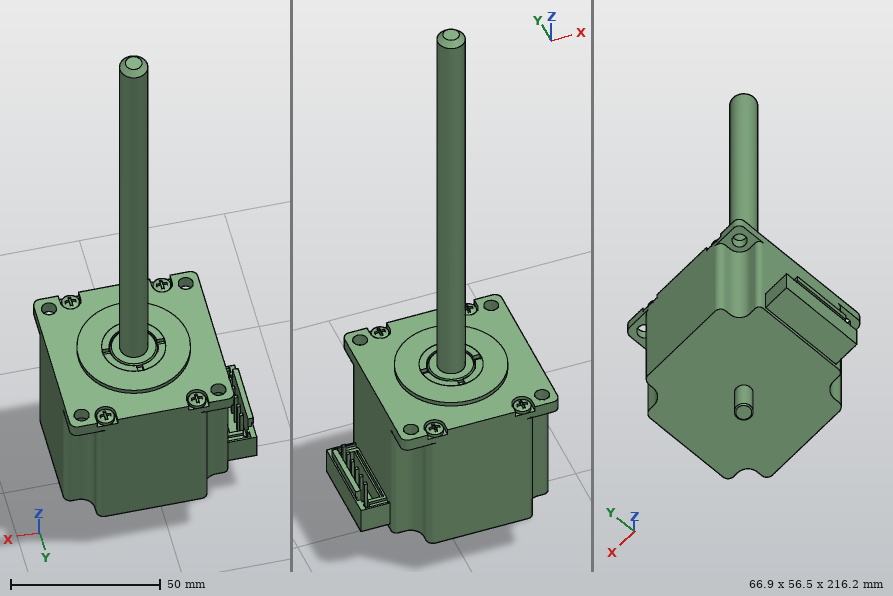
import cadquery as cq
import math

OVERALL_LENGTH = 66.9
OVERALL_HEIGHT = 216.2
FRAME = 56.54
HALF = FRAME / 2
MOTOR_LENGTH = 50.4

FLANGE_THICK = 4.6
FLANGE_CORNER_R = 2.5
HOLE_PITCH = 47.14
HOLE_DIA = 5.0
PILOT_DIA = 38.1
PILOT_HEIGHT = 1.6

NOTCH_INSET = 9.2
COVE_R = 4.7
NOTCH_LIP_R = 2.5
CONN_SIDE_LIP_R = 1.9

ROD_DIA = 9.53
ROD_CHAMFER = 2.0
REAR_SHAFT_DIA = 6.35
REAR_SHAFT_LENGTH = 13.4
REAR_SHAFT_CHAMFER = 0.5

NUT_DIA = 21.5
NUT_SINK = 0.1
NUT_BORE_DIA = 16.5
NUT_BORE_DEPTH = 1.6
COLLAR_DIA = 16.0
COLLAR_CHAMFER = 0.5
NUT_SLOT_WIDTH = 2.0
NUT_SLOT_DEPTH = 1.6

SCREW_X = 15.75
SCREW_HEAD_DIA = 6.0
SCREW_RIM_HEIGHT = 1.2
SCREW_HEAD_HEIGHT = 2.0
SCREW_Y = HALF - SCREW_HEAD_DIA / 2
SCREW_POCKET_DIA = 7.0
SCREW_POCKET_DEPTH = 2.0
CROSS_LENGTH = 3.6
CROSS_WIDTH = 0.8
CROSS_DEPTH = 1.0

CONN_REACH = OVERALL_LENGTH - FRAME
CONN_WIDTH = 32.0
CONN_HEIGHT = 9.7
CONN_LIFT = 2.0
CONN_END_WALL = 0.65
CHANNEL_DEPTH = 1.0
CHANNEL_GAP = 1.3
CAVITY_WIDTH = 24.0
CAVITY_LENGTH = 6.5
CAVITY_DEPTH = 7.0
CAVITY_SETBACK = 1.9
KEY_SETBACK = 0.6
KEY_LENGTH = 1.4
KEY_DEPTH = 2.0
GROOVE_WIDTH = 0.65
PIN_COUNT = 6
PIN_PITCH = 3.96
PIN_SIZE = 1.14
PIN_SETBACK = 3.9
PIN_RISE = 5.9
LATCH_WIDTH = 22.0
LATCH_HEIGHT = 4.2
LATCH_HOOK = 0.6
LATCH_HOOK_START = 1.5

DIAGONAL = math.sqrt(0.5)
REAR_Z = -MOTOR_LENGTH
ROD_TOP = OVERALL_HEIGHT - MOTOR_LENGTH - REAR_SHAFT_LENGTH
CONN_OUTER_X = -HALF - CONN_REACH
CONN_TOP = REAR_Z + CONN_LIFT + CONN_HEIGHT


def cylinder(diameter, z_low, z_high):
    return cq.Workplane("XY").workplane(offset=z_low).circle(diameter / 2).extrude(z_high - z_low)


def box(x_low, x_high, y_low, y_high, z_low, z_high):
    size = (x_high - x_low, y_high - y_low, z_high - z_low)
    return cq.Workplane("XY").box(*size, centered=False).translate((x_low, y_low, z_low))


def make_flange():
    flange = box(-HALF, HALF, -HALF, HALF, -FLANGE_THICK, 0).edges("|Z").fillet(FLANGE_CORNER_R)
    flange = flange.union(cylinder(PILOT_DIA, -FLANGE_THICK, PILOT_HEIGHT))
    return (
        flange.faces("<Z").workplane()
        .rect(HOLE_PITCH, HOLE_PITCH, forConstruction=True).vertices()
        .hole(HOLE_DIA)
    )


def make_corner_notch(x_lip):
    """Notch at the +X +Y corner: a cove around the screw between two rounded lips.

    x_lip is the radius of the lip on the +X side; the +Y side has the common lip radius.
    """
    wall = HALF - NOTCH_INSET
    cove_centre = wall + COVE_R
    cove_mid = cove_centre - COVE_R * DIAGONAL
    x_lip_centre = (HALF - x_lip, wall - x_lip)
    y_lip_centre = (wall - NOTCH_LIP_R, HALF - NOTCH_LIP_R)
    x_lip_mid = tuple(value + x_lip * DIAGONAL for value in x_lip_centre)
    y_lip_mid = tuple(value + NOTCH_LIP_R * DIAGONAL for value in y_lip_centre)
    return (
        cq.Workplane("XY").workplane(offset=REAR_Z)
        .moveTo(HALF, x_lip_centre[1])
        .threePointArc(x_lip_mid, (x_lip_centre[0], wall))
        .lineTo(cove_centre, wall)
        .threePointArc((cove_mid, cove_mid), (wall, cove_centre))
        .lineTo(wall, y_lip_centre[1])
        .threePointArc(y_lip_mid, (y_lip_centre[0], HALF))
        .lineTo(HALF, HALF)
        .close()
        .extrude(MOTOR_LENGTH - FLANGE_THICK)
    )


def make_body():
    body = box(-HALF, HALF, -HALF, HALF, REAR_Z, -FLANGE_THICK)
    plain_side = make_corner_notch(NOTCH_LIP_R)
    conn_side = make_corner_notch(CONN_SIDE_LIP_R).mirror("YZ")
    for notch in (plain_side, conn_side):
        body = body.cut(notch).cut(notch.mirror("XZ"))
    return body


def cut_nut_face(part):
    """Sunk nut face with four radial slots and a chamfered collar inside its bore."""
    face_z = PILOT_HEIGHT - NUT_SINK
    bore_z = face_z - NUT_BORE_DEPTH
    part = part.cut(cylinder(NUT_DIA, face_z, PILOT_HEIGHT))
    collar = cylinder(COLLAR_DIA, bore_z, face_z).faces(">Z").chamfer(COLLAR_CHAMFER)
    part = part.cut(cylinder(NUT_BORE_DIA, bore_z, face_z).cut(collar))
    slot = box(
        COLLAR_DIA / 2, NUT_DIA / 2, -NUT_SLOT_WIDTH / 2, NUT_SLOT_WIDTH / 2,
        face_z - NUT_SLOT_DEPTH, face_z,
    )
    for quarter in range(4):
        part = part.cut(slot.rotate((0, 0, 0), (0, 0, 1), 90 * quarter))
    return part


def make_shafts():
    rod = cylinder(ROD_DIA, 0, ROD_TOP).faces(">Z").chamfer(ROD_CHAMFER)
    rear_end = REAR_Z - REAR_SHAFT_LENGTH
    rear = cylinder(REAR_SHAFT_DIA, rear_end, REAR_Z).faces("<Z").chamfer(REAR_SHAFT_CHAMFER)
    return rod.union(rear)


def make_screw_pocket():
    """Round-ended pocket for the screw on the +Y side, centred on X = 0 and open at the flange edge."""
    radius = SCREW_POCKET_DIA / 2
    pocket = cylinder(SCREW_POCKET_DIA, -SCREW_POCKET_DEPTH, 0).translate((0, SCREW_Y, 0))
    return pocket.union(box(-radius, radius, SCREW_Y, HALF + radius, -SCREW_POCKET_DEPTH, 0))


def make_screw_head():
    """Domed cross-recessed head standing on the pocket floor."""
    radius = SCREW_HEAD_DIA / 2
    crown = SCREW_HEAD_HEIGHT - SCREW_RIM_HEIGHT
    dome_r = (radius ** 2 + crown ** 2) / (2 * crown)
    half_angle = math.asin(radius / dome_r) / 2
    dome_mid = (
        dome_r * math.sin(half_angle),
        SCREW_HEAD_HEIGHT - dome_r * (1 - math.cos(half_angle)),
    )
    head = (
        cq.Workplane("XZ")
        .lineTo(radius, 0)
        .lineTo(radius, SCREW_RIM_HEIGHT)
        .threePointArc(dome_mid, (0, SCREW_HEAD_HEIGHT))
        .close()
        .revolve(360, (0, 0, 0), (0, 1, 0))
    )
    half_length = CROSS_LENGTH / 2
    half_width = CROSS_WIDTH / 2
    bar = box(
        -half_length, half_length, -half_width, half_width,
        SCREW_HEAD_HEIGHT - CROSS_DEPTH, SCREW_HEAD_HEIGHT,
    )
    head = head.cut(bar).cut(bar.rotate((0, 0, 0), (0, 0, 1), 90))
    return head.translate((0, SCREW_Y, -SCREW_POCKET_DEPTH))


def add_screws(part):
    pocket = make_screw_pocket()
    head = make_screw_head()
    for turn in (0, 180):
        for x in (-SCREW_X, SCREW_X):
            spot = (x, 0, 0)
            part = part.cut(pocket.translate(spot).rotate((0, 0, 0), (0, 0, 1), turn))
            part = part.union(head.translate(spot).rotate((0, 0, 0), (0, 0, 1), turn))
    return part


def make_latch():
    """Hooked latch wall rising from the connector along its outer edge."""
    stem_outer = CONN_OUTER_X + LATCH_HOOK
    stem_inner = CONN_OUTER_X + CAVITY_SETBACK
    half_width = LATCH_WIDTH / 2
    top = CONN_TOP + LATCH_HEIGHT
    hook_z = CONN_TOP + LATCH_HOOK_START
    stem = box(stem_outer, stem_inner, -half_width, half_width, CONN_TOP, top)
    hook = box(CONN_OUTER_X, stem_inner, -half_width, half_width, hook_z, top)
    return stem.union(hook)


def make_connector():
    half_width = CONN_WIDTH / 2
    half_cavity = CAVITY_WIDTH / 2
    cavity_x = CONN_OUTER_X + CAVITY_SETBACK
    cavity_end = cavity_x + CAVITY_LENGTH
    cavity_floor = CONN_TOP - CAVITY_DEPTH

    housing = box(CONN_OUTER_X, -HALF, -half_width, half_width, REAR_Z + CONN_LIFT, CONN_TOP)
    housing = housing.cut(
        box(cavity_x, cavity_end, -half_cavity, half_cavity, cavity_floor, CONN_TOP)
    )

    key_x = cavity_x + KEY_SETBACK
    key_half = half_cavity + KEY_DEPTH
    housing = housing.cut(
        box(key_x, key_x + KEY_LENGTH, -key_half, key_half, cavity_floor, CONN_TOP)
    )

    channel = box(
        cavity_x, -HALF, half_cavity + CHANNEL_GAP, half_width - CONN_END_WALL,
        CONN_TOP - CHANNEL_DEPTH, CONN_TOP,
    )
    housing = housing.cut(channel).cut(channel.mirror("XZ"))

    groove_x = cavity_end + GROOVE_WIDTH
    housing = housing.cut(
        box(groove_x, groove_x + GROOVE_WIDTH, -half_cavity, half_cavity, cavity_floor, CONN_TOP)
    )

    pin_x = CONN_OUTER_X + PIN_SETBACK
    half_pin = PIN_SIZE / 2
    for index in range(PIN_COUNT):
        pin_y = (index - (PIN_COUNT - 1) / 2) * PIN_PITCH
        housing = housing.union(
            box(
                pin_x - half_pin, pin_x + half_pin, pin_y - half_pin, pin_y + half_pin,
                cavity_floor, CONN_TOP + PIN_RISE,
            )
        )
    return housing.union(make_latch())


motor = make_flange().union(make_body())
motor = cut_nut_face(motor).union(make_shafts())
motor = add_screws(motor)
result = motor.union(make_connector())